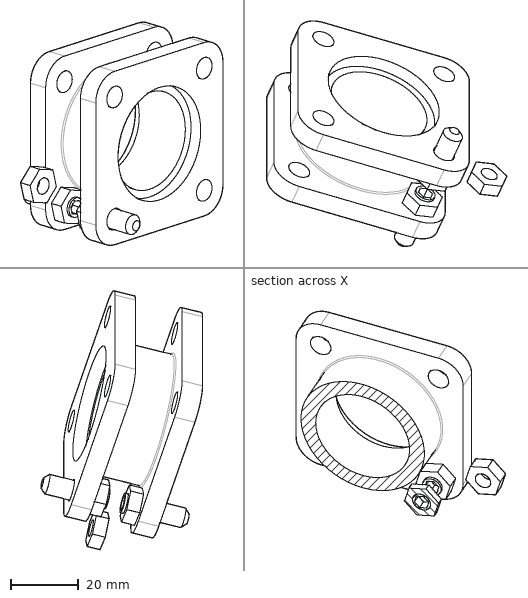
import cadquery as cq
import math

flange_side = 54.0
flange_corner_radius = 8.0
flange_thickness = 6.3
flange_gap = 14.35
drum_diameter = 40.05
drum_root_fillet = 0.4
bore_diameter = 30.2
counterbore_diameter = 35.0
counterbore_depth = 4.0
screw_hole_diameter = 6.6
housing_length = flange_gap + 2 * flange_thickness
hole_offset = flange_side / 2 - flange_corner_radius

screw_diameter = 6.0
screw_length = 20.0
screw_span = 44.8
screw_tip_chamfer = 1.5
socket_across_flats = 4.0
socket_depth = 3.5
screw_inner_end = screw_span / 2 - screw_length
screw_y = -hole_offset
screw_z = -hole_offset

nut_across_flats = 10.0
nut_thickness = 4.0
loose_nut_bore = 5.0
loose_nut_y = -37.5
loose_nut_z = -7.0

hexagon_angle = -15.0


def disc(diameter, length, start_x):
    """Cylinder on the X axis, running from start_x toward +X."""
    return cq.Workplane("YZ", origin=(start_x, 0, 0)).circle(diameter / 2).extrude(length)


def hexagon_prism(across_flats, length, start_x):
    """Turned hexagonal prism on the X axis, running from start_x toward +X."""
    across_corners = across_flats / math.cos(math.pi / 6)
    prism = cq.Workplane("YZ", origin=(start_x, 0, 0)).polygon(6, across_corners).extrude(length)
    return prism.rotate((0, 0, 0), (1, 0, 0), hexagon_angle)


def make_housing():
    body = disc(drum_diameter, flange_gap, -flange_gap / 2)
    for start_x in (-housing_length / 2, flange_gap / 2):
        flange = (
            cq.Workplane("YZ", origin=(start_x, 0, 0))
            .rect(flange_side, flange_side)
            .extrude(flange_thickness)
        )
        body = body.union(flange)
    body = body.edges("%CIRCLE").fillet(drum_root_fillet)
    body = body.edges("|X").edges("<Y or >Y").fillet(flange_corner_radius)

    body = body.cut(disc(bore_diameter, housing_length, -housing_length / 2))
    for start_x in (-housing_length / 2, housing_length / 2 - counterbore_depth):
        body = body.cut(disc(counterbore_diameter, counterbore_depth, start_x))

    screw_holes = (
        cq.Workplane("YZ", origin=(-housing_length / 2, 0, 0))
        .rect(2 * hole_offset, 2 * hole_offset, forConstruction=True)
        .vertices()
        .circle(screw_hole_diameter / 2)
        .extrude(housing_length)
    )
    return body.cut(screw_holes)


def make_set_screw():
    """Set screw on the +X side, pointing toward +X."""
    screw = disc(screw_diameter, screw_length, screw_inner_end)
    screw = screw.faces(">X").chamfer(screw_tip_chamfer)
    screw = screw.cut(hexagon_prism(socket_across_flats, socket_depth, screw_inner_end))
    return screw.translate((0, screw_y, screw_z))


def make_nut(bore, start_x, y, z):
    nut = hexagon_prism(nut_across_flats, nut_thickness, start_x)
    nut = nut.cut(disc(bore, nut_thickness, start_x))
    return nut.translate((0, y, z))


housing = make_housing()

right_screw = make_set_screw()
screws = [right_screw, right_screw.mirror("YZ")]

nuts = []
for nut_start_x in (-flange_gap / 2, flange_gap / 2 - nut_thickness):
    nuts.append(make_nut(screw_diameter, nut_start_x, screw_y, screw_z))
nuts.append(make_nut(loose_nut_bore, -nut_thickness / 2, loose_nut_y, loose_nut_z))

bodies = [housing, *screws, *nuts]
result = cq.Compound.makeCompound([body.val() for body in bodies])